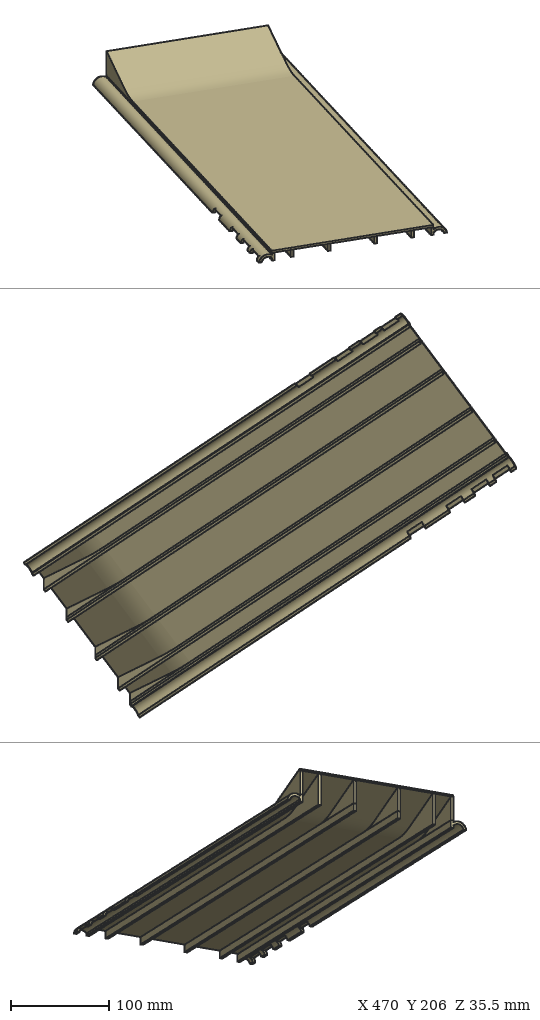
import cadquery as cq
import math

length = 470.0
width = 206.0
height = 35.5
wall = 3.0
sheet_thickness = 2.6

floor_bottom = 8.0
floor_top = floor_bottom + sheet_thickness
sheet_end = 468.5
ramp_angle = math.radians(21.9)
bend_radius = 60.0

upright_outer = 88.5
upright_inner = upright_outer - wall
hook_height = floor_bottom
hook_center = 93.5
hook_reach = width / 2 - hook_center
hook_radius = (hook_reach**2 + hook_height**2) / (2 * hook_height)
hook_center_z = hook_height - hook_radius
notch_length = 18.5
notch_height = 4.45
notch_starts = [338.5, 387.5, 419.0, 445.0]

side_wall_y = upright_outer - wall / 2
bar_y = 25.5
rib_y = 66.0

tip_top = (sheet_thickness * math.sin(ramp_angle), height)
tip_bottom = (0, height - sheet_thickness * math.cos(ramp_angle))
bend_corner_x = tip_top[0] + (height - floor_top) / math.tan(ramp_angle)
bend_end_x = bend_corner_x + bend_radius * math.tan(ramp_angle / 2)
bend_center_z = floor_top + bend_radius
under_radius = bend_radius + sheet_thickness


def bend_point(radius, angle):
    """Point on the bend, with the angle measured from where it meets the floor."""
    return (bend_end_x - radius * math.sin(angle), bend_center_z - radius * math.cos(angle))


def extrude_across(profile, y_center, thickness):
    """Extrude an XZ profile symmetrically about y_center."""
    return profile.extrude(thickness / 2, both=True).translate((0, y_center, 0))


def profile_under_sheet(bottom, end_x):
    """XZ outline from the given bottom height up to the underside of the sheet."""
    outline = cq.Workplane("XZ").moveTo(*tip_bottom).lineTo(0, bottom)
    if bottom < floor_bottom:
        outline = outline.lineTo(end_x, bottom).lineTo(end_x, floor_bottom)
    return (
        outline.lineTo(*bend_point(under_radius, 0))
        .threePointArc(bend_point(under_radius, ramp_angle / 2), bend_point(under_radius, ramp_angle))
        .close()
    )


def make_sheet():
    """Floor and ramp, with four wedge walls under the ramp."""
    profile = (
        cq.Workplane("XZ")
        .moveTo(*tip_top)
        .lineTo(*bend_point(bend_radius, ramp_angle))
        .threePointArc(bend_point(bend_radius, ramp_angle / 2), bend_point(bend_radius, 0))
        .lineTo(sheet_end, floor_top)
        .lineTo(sheet_end, floor_bottom)
        .lineTo(*bend_point(under_radius, 0))
        .threePointArc(bend_point(under_radius, ramp_angle / 2), bend_point(under_radius, ramp_angle))
        .lineTo(*tip_bottom)
        .close()
    )
    sheet = extrude_across(profile, 0, 2 * upright_outer)
    for y in (-side_wall_y, -bar_y, bar_y, side_wall_y):
        sheet = sheet.union(extrude_across(profile_under_sheet(floor_bottom, bend_end_x), y, wall))
    return sheet


def hook_disc(radius):
    """Full-length cylinder about the axis of the hook's arch."""
    return cq.Workplane("YZ").center(hook_center, hook_center_z).circle(radius).extrude(length)


def make_rail(side):
    """Upright with an arched, notched hook; side is +1 or -1 along Y."""
    arch = hook_disc(hook_radius).cut(hook_disc(hook_radius - wall))
    outer_side = cq.Workplane("XY").box(length, width / 2 - upright_inner, hook_height, centered=False)
    hook = arch.intersect(outer_side.translate((0, upright_inner, 0)))
    upright = cq.Workplane("XY").box(length, wall, floor_bottom, centered=False)
    rail = hook.union(upright.translate((0, upright_inner, 0)))
    for start in notch_starts:
        notch = cq.Workplane("XY").box(notch_length, hook_reach, notch_height, centered=False)
        rail = rail.cut(notch.translate((start, hook_center, 0)))
    return rail if side > 0 else rail.mirror("XZ")


def make_bar(y):
    """Low bar under the floor and its wedge wall."""
    bar = cq.Workplane("XY").box(sheet_end, wall, floor_bottom, centered=(False, True, False))
    return bar.translate((0, y, 0))


def make_rib(y):
    """Tall rib that follows the underside of the ramp and the floor."""
    return extrude_across(profile_under_sheet(0, sheet_end), y, wall)


bodies = [make_sheet().solids().val()]
for side in (-1, 1):
    bodies.append(make_rail(side).solids().val())
    bodies.append(make_bar(side * bar_y).val())
    bodies.append(make_rib(side * rib_y).solids().val())

result = cq.Compound.makeCompound(bodies)